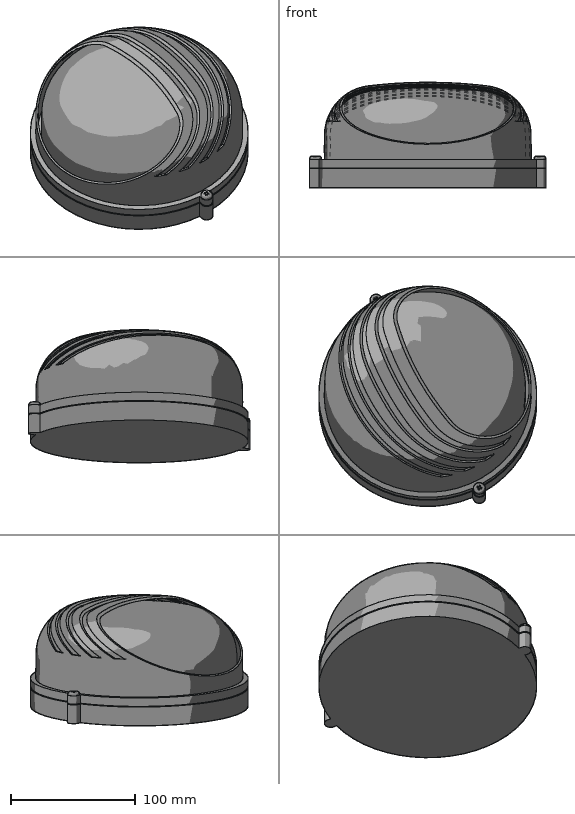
import cadquery as cq
import math

base_diameter = 175.0
base_radius = base_diameter / 2
base_height = 22.8
groove_bottom = 15.4
groove_width = 0.5
groove_depth = 0.4

shoulder_height = 41.8
shoulder_center_radius = 42.5
glass_shoulder_radius = 36.0
glass_height = 80.4
wall_draft = 0.2

shell_outer_offset = 4.5
shell_thickness = 1.5
shell_inner_offset = shell_outer_offset - shell_thickness

slant_angle = 28.0
slot_floor = 53.2
slot_pitch = 19.0
slot_width = 8.4
slot_count = 4
first_slot_end = 19.0
cut_top = 114.0
cut_length = base_diameter

lug_center = 90.0
lug_radius = 5.0
screw_head_radius = 4.8
screw_head_height = 2.7
screw_head_fillet = 1.9
recess_length = 3.8
recess_width = 1.1
recess_depth = 1.0


def dome(offset):
    """Solid of revolution from the base plane up to the glass surface, grown by offset."""
    shoulder_radius = glass_shoulder_radius + offset
    wall_radius = shoulder_center_radius + shoulder_radius
    top = glass_height + offset
    rise = top - shoulder_height

    square_sum = shoulder_center_radius**2 + rise**2 - shoulder_radius**2
    crown_radius = square_sum / (2 * (rise - shoulder_radius))
    tangent_angle = math.asin(shoulder_center_radius / (crown_radius - shoulder_radius))

    def crown_point(angle):
        return crown_radius * math.sin(angle), top - crown_radius * (1 - math.cos(angle))

    middle_angle = (math.pi / 2 + tangent_angle) / 2
    shoulder_middle = (
        shoulder_center_radius + shoulder_radius * math.sin(middle_angle),
        shoulder_height + shoulder_radius * math.cos(middle_angle),
    )
    return (
        cq.Workplane("XZ")
        .lineTo(wall_radius + wall_draft, 0)
        .lineTo(wall_radius + wall_draft, base_height)
        .lineTo(wall_radius, shoulder_height)
        .threePointArc(shoulder_middle, crown_point(tangent_angle))
        .threePointArc(crown_point(tangent_angle / 2), (0, top))
        .close()
        .revolve(360, (0, 0, 0), (0, 1, 0))
    )


def side_cutter(outline):
    """Prism with the given (Y, Z) outline, running along X through the whole part."""
    return cq.Workplane("YZ").polyline(outline).close().extrude(cut_length / 2, both=True)


def slanted_y(y_at_floor, z):
    """Y of a slanted cut plane at height z; the planes rise toward +Y."""
    return y_at_floor + (z - slot_floor) / math.tan(math.radians(slant_angle))


def slot_cutter(index):
    y_end = first_slot_end - index * slot_pitch
    y_start = y_end + slot_width
    return side_cutter([
        (y_end, slot_floor),
        (y_start, slot_floor),
        (slanted_y(y_start, cut_top), cut_top),
        (slanted_y(y_end, cut_top), cut_top),
    ])


def opening_cutter():
    """Everything in front of the slanted plane that lies one pitch beyond the last slot."""
    y_plane = first_slot_end + slot_width - slot_count * slot_pitch
    return side_cutter([
        (slanted_y(y_plane, base_height), base_height),
        (slanted_y(y_plane, cut_top), cut_top),
        (-cut_length, cut_top),
        (-cut_length, base_height),
    ])


def guard_shell():
    shell = dome(shell_outer_offset).cut(dome(shell_inner_offset))
    for index in range(slot_count):
        shell = shell.cut(slot_cutter(index))
    return shell.cut(opening_cutter())


def base_plate(bottom, height, inset=0):
    """Round plate with a round-ended lug on each side, its outline shrunk by inset."""
    plane = cq.Workplane("XY", origin=(0, 0, bottom))
    disc = plane.circle(base_radius - inset).extrude(height)
    lugs = plane.slot2D(2 * (lug_center + lug_radius - inset), 2 * (lug_radius - inset)).extrude(height)
    return disc.union(lugs)


def grooved_base():
    groove = base_plate(groove_bottom, groove_width).cut(
        base_plate(groove_bottom, groove_width, groove_depth)
    )
    return base_plate(0, base_height).cut(groove)


def screw_head(x):
    head = (
        cq.Workplane("XY", origin=(x, 0, base_height))
        .circle(screw_head_radius)
        .extrude(screw_head_height)
        .faces(">Z")
        .edges()
        .fillet(screw_head_fillet)
    )
    recess_plane = cq.Workplane("XY", origin=(x, 0, base_height + screw_head_height))
    for angle in (45, 135):
        arm = recess_plane.transformed(rotate=(0, 0, angle)).rect(recess_length, recess_width)
        head = head.cut(arm.extrude(-recess_depth))
    return head


result = grooved_base().union(dome(0)).union(guard_shell())
for side in (-1, 1):
    result = result.union(screw_head(side * lug_center))